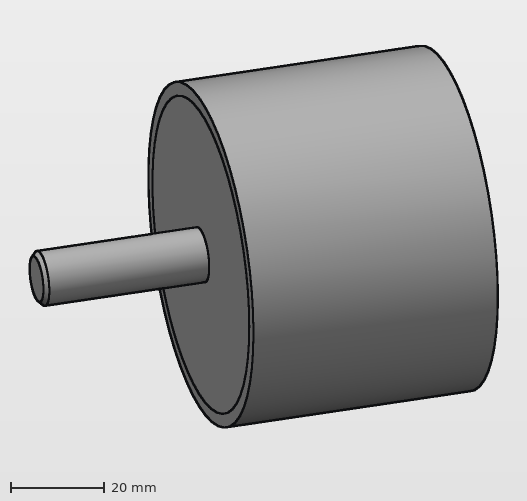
import cadquery as cq


total_length = 92.0
rubber_diameter = 75.0
rubber_length = 55.0
disc_diameter = 69.0
disc_thickness = 2.0
stud_diameter = 12.0
stud_chamfer = 1.0

stud_projection = total_length - rubber_length
stud_length = stud_projection + disc_thickness


def cylinder_along_y(diameter, start_y, length):
    """Cylinder on the Y axis, running from start_y toward +Y."""
    plane = cq.Workplane("XZ").workplane(offset=-start_y)
    return plane.circle(diameter / 2).extrude(-length)


def make_rubber():
    """Rubber cylinder with a shallow recess for the disc."""
    block = cylinder_along_y(rubber_diameter, 0, rubber_length)
    recess = cylinder_along_y(disc_diameter, 0, disc_thickness)
    return block.cut(recess)


def make_disc():
    """Metal disc, flush with the rubber, with a through hole for the stud."""
    disc = cylinder_along_y(disc_diameter, 0, disc_thickness)
    stud_hole = cylinder_along_y(stud_diameter, 0, disc_thickness)
    return disc.cut(stud_hole)


def make_stud():
    """Stud filling the disc hole, with a chamfered free end."""
    stud = cylinder_along_y(stud_diameter, -stud_projection, stud_length)
    return stud.faces("<Y").chamfer(stud_chamfer)


rubber = make_rubber()
disc = make_disc()
stud = make_stud()

result = cq.Compound.makeCompound([rubber.val(), disc.val(), stud.val()])